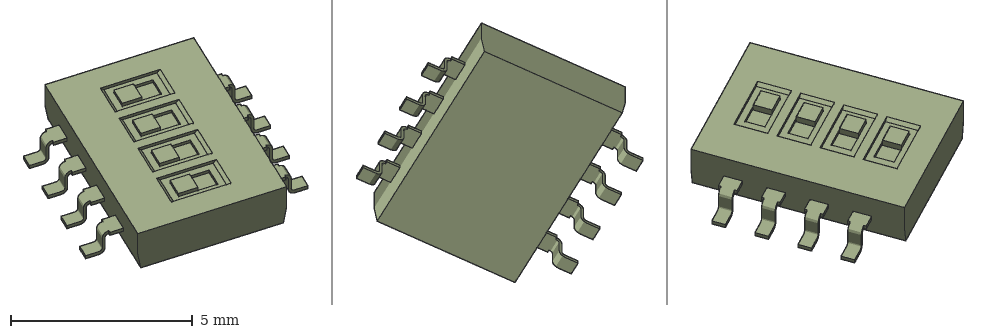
import cadquery as cq

overall_y = 6.7
overall_z = 1.5
switch_count = 4
pitch = 1.27

body_x = 6.31
body_y = 4.49
body_base_y = 4.3
body_base_z = 0.12
parting_z = 0.7

lead_thickness = 0.12
riser_thickness = 0.09
lead_width = 0.4
shoulder_width = 0.55
shoulder_end_y = 2.65
bend_start_y = 2.64
outer_bend = 0.21
inner_bend = 0.095
lead_root_y = 2.01
riser_outer_y = bend_start_y + outer_bend
riser_inner_y = riser_outer_y - riser_thickness
lead_top_z = parting_z + lead_thickness

window_x = 1.0
window_y = 1.8
window_depth = 0.1
slot_x = 0.595
slot_y = 1.185
slot_depth = 0.1
slider_x = 0.56
window_floor_z = overall_z - window_depth
slot_floor_z = window_floor_z - slot_depth

switch_positions = [(i - (switch_count - 1) / 2) * pitch for i in range(switch_count)]


def box(size_x, y_min, y_max, z_min, z_max):
    """Box centred on X = 0 between the given Y and Z limits."""
    return (
        cq.Workplane("XY")
        .box(size_x, y_max - y_min, z_max - z_min, centered=(True, False, False))
        .translate((0, y_min, z_min))
    )


def extrude_yz(sketch, width):
    """Extrude a closed Y-Z outline symmetrically about X = 0."""
    return sketch.close().extrude(width / 2, both=True)


def make_housing():
    """Straight upper half with the lower half tapering in Y to the base."""
    outline = cq.Workplane("YZ").polyline([
        (-body_base_y / 2, body_base_z),
        (body_base_y / 2, body_base_z),
        (body_y / 2, parting_z),
        (body_y / 2, overall_z),
        (-body_y / 2, overall_z),
        (-body_y / 2, parting_z),
    ])
    return extrude_yz(outline, body_x)


def make_lead():
    """Terminal on the +Y side: wide shoulder, bent riser and flat foot."""
    outline = (
        cq.Workplane("YZ")
        .moveTo(lead_root_y, lead_top_z)
        .lineTo(bend_start_y, lead_top_z)
        .radiusArc((riser_outer_y, lead_top_z - outer_bend), outer_bend)
        .lineTo(riser_outer_y, lead_thickness + inner_bend)
        .radiusArc((riser_outer_y + inner_bend, lead_thickness), -inner_bend)
        .lineTo(overall_y / 2, lead_thickness)
        .lineTo(overall_y / 2, 0)
        .lineTo(riser_inner_y + outer_bend, 0)
        .radiusArc((riser_inner_y, outer_bend), outer_bend)
        .lineTo(riser_inner_y, parting_z - inner_bend)
        .radiusArc((riser_inner_y - inner_bend, parting_z), -inner_bend)
        .lineTo(lead_root_y, parting_z)
    )
    bent_strip = extrude_yz(outline, shoulder_width)
    shoulder_region = box(shoulder_width, lead_root_y, shoulder_end_y, 0, lead_top_z)
    narrow_region = box(lead_width, shoulder_end_y, overall_y / 2, 0, lead_top_z)
    return bent_strip.intersect(shoulder_region.union(narrow_region))


def make_window():
    """Recess with 45-degree end walls and a deeper slot for the slider."""
    half_y = window_y / 2
    outline = cq.Workplane("YZ").polyline([
        (-half_y, overall_z),
        (half_y, overall_z),
        (half_y - window_depth, window_floor_z),
        (-half_y + window_depth, window_floor_z),
    ])
    slot = box(slot_x, -slot_y / 2, slot_y / 2, slot_floor_z, window_floor_z)
    return extrude_yz(outline, window_x).union(slot)


def make_slider():
    """Slider in the -Y half of the slot, flush with the top of the housing."""
    return box(slider_x, -slot_y / 2, 0, slot_floor_z, overall_z)


lead = make_lead()
opposite_lead = lead.mirror("XZ")
window = make_window()
slider = make_slider()

result = make_housing()
for x in switch_positions:
    result = result.cut(window.translate((x, 0, 0)))
    for feature in (slider, lead, opposite_lead):
        result = result.union(feature.translate((x, 0, 0)))